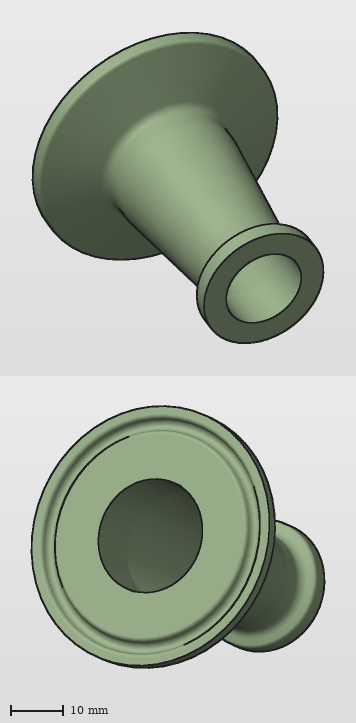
import math

import cadquery as cq

length = 50.0
wall = 1.65
large_tube_radius = 25.4 / 2
small_tube_radius = 19.1 / 2

taper_start = 12.4
taper_end = 40.2
taper_blend_radius = 3.0

large_flange_radius = 50.5 / 2
large_rim_width = 2.85
small_flange_radius = 25.2 / 2
small_rim_width = 3.65
back_slope = math.radians(20)
rim_round = 0.8
root_round = 2.0

groove_radius = 43.5 / 2
groove_half_width = 1.95
groove_depth = 1.6
groove_lip_round = 0.8


def unit(start, end):
    """Unit direction from one point to another."""
    dx = end[0] - start[0]
    dy = end[1] - start[1]
    size = math.hypot(dx, dy)
    return dx / size, dy / size


def rounded_outline(corners):
    """Closed outline through (x, radius, rounding) corners, tangent arc at each rounding."""
    points = [(x, r) for x, r, _ in corners]
    outline = cq.Workplane("XZ").moveTo(*points[0])
    for i in range(1, len(corners)):
        corner = points[i]
        rounding = corners[i][2]
        if rounding == 0:
            outline = outline.lineTo(*corner)
            continue
        back = unit(corner, points[i - 1])
        ahead = unit(corner, points[(i + 1) % len(points)])
        half_angle = math.acos(back[0] * ahead[0] + back[1] * ahead[1]) / 2
        tangent = rounding / math.tan(half_angle)
        to_middle = rounding / math.sin(half_angle) - rounding
        inward = unit((0, 0), (back[0] + ahead[0], back[1] + ahead[1]))
        arc_start = (corner[0] + tangent * back[0], corner[1] + tangent * back[1])
        arc_middle = (corner[0] + to_middle * inward[0], corner[1] + to_middle * inward[1])
        arc_end = (corner[0] + tangent * ahead[0], corner[1] + tangent * ahead[1])
        outline = outline.lineTo(*arc_start).threePointArc(arc_middle, arc_end)
    return outline.close()


def revolve_about_x(outline):
    """Full turn of an XZ outline about the X axis."""
    return outline.revolve(360, (0, 0, 0), (1, 0, 0))


def gasket_groove_corners():
    """Corners of a V groove with a round bottom, its lips blending into the flange face."""
    flank = math.pi / 2 - back_slope
    mouth_half_width = groove_half_width - groove_lip_round * math.tan(flank / 2)
    apex_depth = mouth_half_width * math.tan(flank)
    bottom_round = (apex_depth - groove_depth) / (1 / math.cos(flank) - 1)
    return [
        (0, groove_radius - mouth_half_width, groove_lip_round),
        (apex_depth, groove_radius, bottom_round),
        (0, groove_radius + mouth_half_width, groove_lip_round),
    ]


def body():
    """Solid outer shape: grooved large flange, tube, taper, tube, small flange."""
    large_root = large_rim_width + (large_flange_radius - large_tube_radius) * math.tan(back_slope)
    small_rim = length - small_rim_width
    small_root = small_rim - (small_flange_radius - small_tube_radius) * math.tan(back_slope)
    return revolve_about_x(rounded_outline([
        (0, 0, 0),
        *gasket_groove_corners(),
        (0, large_flange_radius, 0),
        (large_rim_width, large_flange_radius, rim_round),
        (large_root, large_tube_radius, root_round),
        (taper_start, large_tube_radius, taper_blend_radius),
        (taper_end, small_tube_radius, taper_blend_radius),
        (small_root, small_tube_radius, root_round),
        (small_rim, small_flange_radius, rim_round),
        (length, small_flange_radius, 0),
        (length, 0, 0),
    ]))


def bore():
    """Through passage, one wall thickness inside the tubes."""
    large_bore_radius = large_tube_radius - wall
    small_bore_radius = small_tube_radius - wall
    return revolve_about_x(rounded_outline([
        (0, 0, 0),
        (0, large_bore_radius, 0),
        (taper_start, large_bore_radius, taper_blend_radius),
        (taper_end, small_bore_radius, taper_blend_radius),
        (length, small_bore_radius, 0),
        (length, 0, 0),
    ]))


result = body().cut(bore())